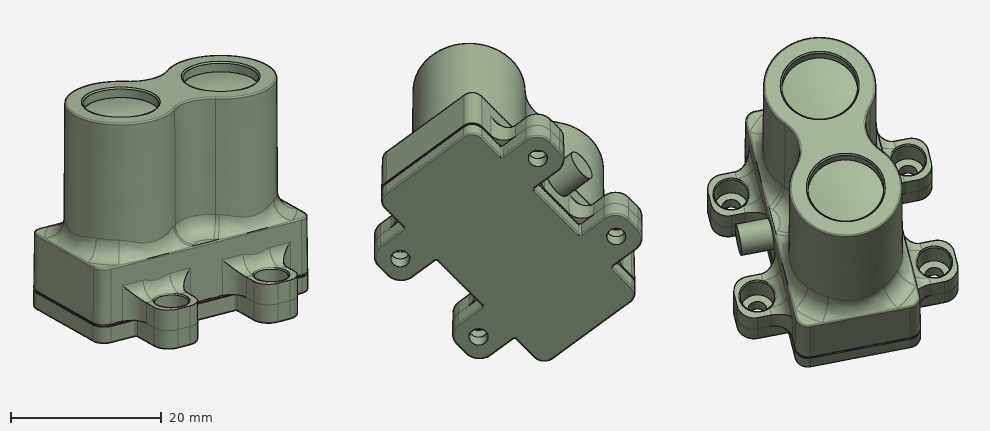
import cadquery as cq
import math

plate_height = 2.4
groove_height = 0.3
body_height = 10.75
total_height = 30.0

body_width = 17.0
body_length = 34.0
body_corner = 1.75
body_draft = 0.8
groove_depth = 0.25
small_edge = 0.2
chamfer_angle = 45

lens_spacing = 15.98
barrel_radius = 7.55
waist_half_width = 4.7
tower_draft = 0.3
tower_flare = 2.55

lens_radius = 5.03
lens_edge_depth = 1.43
lens_rise = 0.5

tab_height = 5.65
tab_width = 6.53
tab_reach = 15.0
tab_corner = 2.3
tab_flare = 2.38
tab_root = 6.8
tab_sink = 0.007
tab_root_fillet = 0.25
screw_x = 12.0
screw_radius = 1.25
counterbore_radius = 2.28
counterbore_floor = 2.0
counterbore_chamfer = 0.17

cable_radius = 2.1
cable_reach = 12.82
cable_height = 7.35

lens_y = lens_spacing / 2
cover_bottom = plate_height + groove_height
flare_top = tab_height + tab_flare
selection_margin = 0.05


def level(height):
    return cq.Workplane("XY").workplane(offset=height)


def rounded_block(width, length, corner, bottom, top, draft=0):
    outline = cq.Sketch().rect(width, length).vertices().fillet(corner)
    return level(bottom).placeSketch(outline).extrude(top - bottom, taper=draft)


def tower():
    """Two barrels joined by concave arcs tangent to both."""
    neck_radius = (lens_y**2 + waist_half_width**2 - barrel_radius**2) / (
        2 * (barrel_radius - waist_half_width)
    )
    barrel_share = barrel_radius / (barrel_radius + neck_radius)
    tangent_x = (waist_half_width + neck_radius) * barrel_share
    tangent_y = lens_y * (1 - barrel_share)
    barrel_end = lens_y + barrel_radius
    outline = (
        level(body_height)
        .moveTo(tangent_x, tangent_y)
        .threePointArc((0, barrel_end), (-tangent_x, tangent_y))
        .threePointArc((-waist_half_width, 0), (-tangent_x, -tangent_y))
        .threePointArc((0, -barrel_end), (tangent_x, -tangent_y))
        .threePointArc((waist_half_width, 0), (tangent_x, tangent_y))
        .close()
    )
    return outline.extrude(total_height - body_height, taper=tower_draft)


def cover_with_tower():
    """Drafted cover whose top flares up into the tower."""
    cover = rounded_block(body_width, body_length, body_corner, cover_bottom, body_height, body_draft)
    cover = cover.faces(">Z").edges().fillet(small_edge)
    reach_x = barrel_radius + selection_margin
    reach_y = lens_y + barrel_radius + selection_margin
    tower_foot = cq.selectors.BoxSelector(
        (-reach_x, -reach_y, body_height - selection_margin),
        (reach_x, reach_y, body_height + selection_margin),
        boundingbox=True,
    )
    flared = cover.union(tower()).edges(tower_foot).fillet(tower_flare)
    return flared.faces(">Z").edges().fillet(small_edge)


def base_plate():
    """Plate with a slightly smaller core above it that leaves a groove under the cover."""
    plate = rounded_block(body_width, body_length, body_corner, 0, plate_height)
    core = rounded_block(
        body_width - 2 * groove_depth,
        body_length - 2 * groove_depth,
        body_corner - groove_depth,
        plate_height,
        cover_bottom,
    )
    return plate.faces("<Z").edges().fillet(small_edge).union(core)


def lens_well():
    """Cutter for one well with a chamfered rim and a domed lens left at its floor."""
    dome_radius = (lens_radius**2 + lens_rise**2) / (2 * lens_rise)
    dome_center = total_height - lens_edge_depth + lens_rise - dome_radius
    dome = cq.Workplane("XY").sphere(dome_radius).translate((0, 0, dome_center))
    well = level(total_height - lens_edge_depth).circle(lens_radius).extrude(lens_edge_depth)
    rim = level(total_height).circle(lens_radius + small_edge).extrude(-small_edge, taper=chamfer_angle)
    return well.cut(dome).union(rim)


def cable():
    stub = cq.Workplane("YZ").workplane(offset=-cable_reach).center(0, cable_height)
    return stub.circle(cable_radius).extrude(cable_reach)


def tab_outline(bottom, root_radius):
    """Plan of a +X tab: rounded outer corners, and concave arcs where it meets the wall."""
    half = tab_width / 2
    wall_x = body_width / 2 - tab_sink
    turn_x = tab_reach - tab_corner
    return (
        level(bottom)
        .moveTo(tab_root, -half - root_radius)
        .lineTo(wall_x, -half - root_radius)
        .radiusArc((wall_x + root_radius, -half), root_radius)
        .lineTo(turn_x, -half)
        .radiusArc((tab_reach, tab_corner - half), -tab_corner)
        .lineTo(tab_reach, half - tab_corner)
        .radiusArc((turn_x, half), -tab_corner)
        .lineTo(wall_x + root_radius, half)
        .radiusArc((wall_x, half + root_radius), root_radius)
        .lineTo(tab_root, half + root_radius)
        .close()
    )


def tab():
    """One +X tab on the X axis, flared into the cover wall and bored for a screw."""
    wall_x = body_width / 2 - tab_sink - (flare_top - cover_bottom) * math.tan(math.radians(body_draft))
    span = tab_width + 2 * tab_flare
    rim_radius = counterbore_radius + counterbore_chamfer
    bore = level(counterbore_floor).center(screw_x, 0).circle(counterbore_radius).extrude(tab_height)
    rim = level(tab_height).center(screw_x, 0).circle(rim_radius)
    rim = rim.extrude(-counterbore_chamfer, taper=chamfer_angle)
    opening = bore.union(rim)

    slab = cq.Workplane("XY").box(tab_reach - tab_root, span, tab_height, centered=(False, True, False))
    wall = cq.Workplane("XY").box(wall_x - tab_root, span, 2 * flare_top, centered=(False, True, False))
    profile = slab.cut(opening.translate((-tab_root, 0, 0))).union(wall).translate((tab_root, 0, 0))
    root_edge = cq.selectors.NearestToPointSelector((wall_x, 0, tab_height))
    profile = profile.edges(root_edge).fillet(tab_flare)

    plan = tab_outline(cover_bottom, tab_flare).extrude(flare_top - cover_bottom, taper=body_draft)
    lower = tab_outline(0, tab_root_fillet).extrude(cover_bottom).faces("<Z").edges().fillet(small_edge)
    solid = plan.intersect(profile).union(lower).cut(bore)

    hole = level(0).center(screw_x, 0).circle(screw_radius).extrude(tab_height)
    return solid.cut(hole)


result = cover_with_tower().union(base_plate()).union(cable())
for y in (-lens_y, lens_y):
    result = result.cut(lens_well().translate((0, y, 0)))
    side_tab = tab().translate((0, y, 0))
    result = result.union(side_tab).union(side_tab.mirror("YZ"))